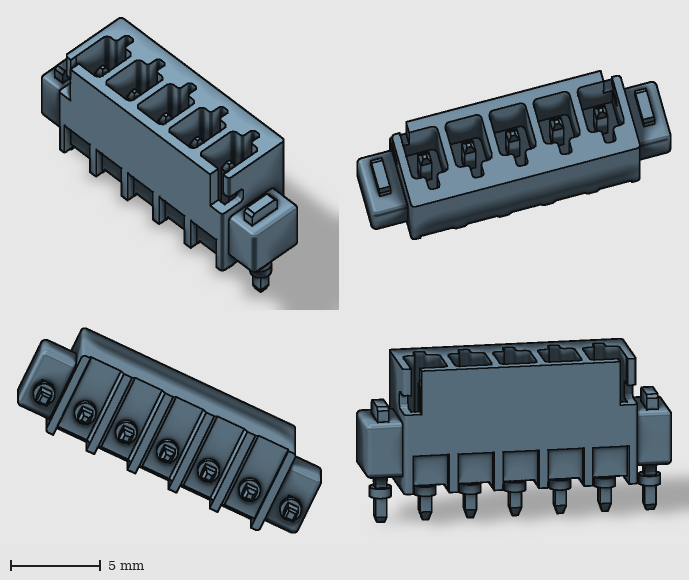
import cadquery as cq

CONTACT_COUNT = 5
PITCH = 2.55
PIN_WIDTH = 0.64
COLLAR_DIAMETER = 1.21
COLLAR_HEIGHT = 0.54
TAIL_LENGTH = 2.0
CONTACT_TOP_Z = 6.22
CONTACT_TIP_LENGTH = 0.5
CONTACT_TIP_WIDTH = 0.31
MATING_TIP_WIDTH = 0.25
ANCHOR_TIP_LENGTH = 0.31
ANCHOR_TIP_WIDTH = 0.41

OVERALL_LENGTH = 17.29
BODY_LENGTH = 13.21
BODY_HEIGHT = 7.09
BODY_FRONT_Y = -1.99
BODY_BACK_Y = 2.87
BODY_DEPTH = BODY_BACK_Y - BODY_FRONT_Y
BODY_EDGE_RADIUS = 0.2
BODY_END_X = BODY_LENGTH / 2

CAVITY_WIDTH = 2.1
CAVITY_FRONT_Y = -1.35
CAVITY_BACK_Y = 1.33
CAVITY_RADIUS = 0.3
CAVITY_DRAFT = 0.3
KEY_WIDTH = 0.64
KEY_BACK_Y = 2.15
KEY_RADIUS = 0.2
STEP_RADIUS = 0.2

POCKET_WIDTH = 2.04
POCKET_DEPTH = 0.48
POCKET_TOP_Z = 2.2
CAVITY_FLOOR_Z = POCKET_TOP_Z
FLOOR_BOTTOM_Z = 0.36
RIB_WIDTH = PITCH - POCKET_WIDTH
FOOT_FLARE = 0.19

END_WALL_INNER_X = (CONTACT_COUNT - 1) / 2 * PITCH + CAVITY_WIDTH / 2
NOTCH_INNER_X = 5.62
NOTCH_BACK_Y = -1.47
NOTCH_FLOOR_Z = 4.58
WINDOW_BACK_Y = -0.36
WINDOW_TOP_Z = 5.57
WINDOW_RADIUS = 0.28

WING_FRONT_Y = -1.49
WING_BACK_Y = 2.02
WING_BOTTOM_Z = 0.85
WING_TOP_Z = 3.98
WING_RADIUS = 0.3

ANCHOR_X = (CONTACT_COUNT + 1) / 2 * PITCH
BLADE_WIDTH = 1.94
BLADE_TOP_Z = 4.8
BLADE_BOTTOM_Z = (WING_BOTTOM_Z + WING_TOP_Z) / 2
BLADE_CHAMFER = 0.19
NECK_WIDTH = 0.85
NECK_TAPER_BOTTOM_Z = 0.17
NECK_TAPER_TOP_Z = 0.75

contact_positions = [(i - (CONTACT_COUNT - 1) / 2) * PITCH for i in range(CONTACT_COUNT)]
rib_positions = [x + PITCH / 2 for x in contact_positions[:-1]]


def block(x_range, y_range, z_range):
    """Box between two limits on each axis."""
    size = [high - low for low, high in (x_range, y_range, z_range)]
    corner = (x_range[0], y_range[0], z_range[0])
    return cq.Workplane("XY").box(*size, centered=False).translate(corner)


def square_bar(bottom_z, top_z):
    """Square bar of the pin width on the Z axis."""
    half = PIN_WIDTH / 2
    return block((-half, half), (-half, half), (bottom_z, top_z))


def pyramid_tip(base_z, tip_z, tip_width):
    """Square tip narrowing from the pin width to the tip width."""
    return (
        cq.Workplane("XY", origin=(0, 0, base_z))
        .rect(PIN_WIDTH, PIN_WIDTH)
        .workplane(offset=tip_z - base_z)
        .rect(tip_width, tip_width)
        .loft()
    )


def solder_tail(tip_length, tip_width):
    """Collar with a square tail and its tip, below the level of the feet."""
    collar = cq.Workplane("XY").circle(COLLAR_DIAMETER / 2).extrude(-COLLAR_HEIGHT)
    shoulder_z = tip_length - TAIL_LENGTH
    tip = pyramid_tip(shoulder_z, -TAIL_LENGTH, tip_width)
    return collar.union(square_bar(shoulder_z, 0)).union(tip)


def make_contact():
    """Contact pin with a tip at both ends."""
    shoulder_z = CONTACT_TOP_Z - CONTACT_TIP_LENGTH
    tip = pyramid_tip(shoulder_z, CONTACT_TOP_Z, MATING_TIP_WIDTH)
    tail = solder_tail(CONTACT_TIP_LENGTH, CONTACT_TIP_WIDTH)
    return tail.union(square_bar(0, shoulder_z)).union(tip)


def anchor_plate():
    """Flat upper part of an anchor: a wide blade on a neck that tapers to the pin width."""
    right_side = [
        (PIN_WIDTH / 2, 0),
        (PIN_WIDTH / 2, NECK_TAPER_BOTTOM_Z),
        (NECK_WIDTH / 2, NECK_TAPER_TOP_Z),
        (NECK_WIDTH / 2, BLADE_BOTTOM_Z),
        (BLADE_WIDTH / 2, BLADE_BOTTOM_Z),
        (BLADE_WIDTH / 2, BLADE_TOP_Z - BLADE_CHAMFER),
        (BLADE_WIDTH / 2 - BLADE_CHAMFER, BLADE_TOP_Z),
    ]
    left_side = [(-y, z) for y, z in reversed(right_side)]
    outline = cq.Workplane("YZ").polyline(right_side + left_side).close()
    return outline.extrude(PIN_WIDTH / 2, both=True)


def make_anchor():
    """Anchor that is pressed into a wing and soldered to the board."""
    return anchor_plate().union(solder_tail(ANCHOR_TIP_LENGTH, ANCHOR_TIP_WIDTH))


def make_wing():
    """Right-hand wing, rounded on all edges away from the housing block."""
    wing = block(
        (BODY_END_X, OVERALL_LENGTH / 2),
        (WING_FRONT_Y, WING_BACK_Y),
        (WING_BOTTOM_Z, WING_TOP_Z),
    )
    return wing.edges("not <X").fillet(WING_RADIUS)


def drafted_pocket(width, front_y, back_y):
    """Rectangular pocket from the top face to the cavity floor, narrowing downwards."""
    return (
        cq.Workplane("XY", origin=(0, (front_y + back_y) / 2, BODY_HEIGHT))
        .rect(width, back_y - front_y)
        .extrude(CAVITY_FLOOR_Z - BODY_HEIGHT, taper=CAVITY_DRAFT)
    )


def cavity(square_side):
    """Mating cavity of the contact on the Z axis, with its key slot at the back.

    Its front corner towards square_side (-1 left, 1 right, 0 neither) is left square.
    """
    upright = "(not #Z) and %LINE"
    main_pocket = drafted_pocket(CAVITY_WIDTH, CAVITY_FRONT_Y, CAVITY_BACK_Y)
    round_corners = main_pocket.edges(upright).filter(
        lambda edge: edge.Center().y > 0 or edge.Center().x * square_side <= 0
    )
    main_pocket = round_corners.fillet(CAVITY_RADIUS)
    key_slot = drafted_pocket(KEY_WIDTH, 0, KEY_BACK_Y)
    key_slot = key_slot.edges(upright).edges(">Y").fillet(KEY_RADIUS)
    both = main_pocket.union(key_slot)
    step_zone = cq.selectors.BoxSelector(
        (-KEY_WIDTH, CAVITY_BACK_Y - STEP_RADIUS, CAVITY_FLOOR_Z),
        (KEY_WIDTH, CAVITY_BACK_Y + STEP_RADIUS, BODY_HEIGHT),
    )
    return both.edges(upright).edges(step_zone).fillet(STEP_RADIUS)


def front_pocket():
    """Recess in the front face below the cavity of the contact on the Z axis."""
    half = POCKET_WIDTH / 2
    return block((-half, half), (BODY_FRONT_Y, BODY_FRONT_Y + POCKET_DEPTH), (0, POCKET_TOP_Z))


def under_floor_space():
    """Space between the end walls below the floor."""
    half = (CONTACT_COUNT * PITCH - RIB_WIDTH) / 2
    return block((-half, half), (BODY_FRONT_Y, BODY_BACK_Y), (0, FLOOR_BOTTOM_Z))


def foot():
    """Foot below the floor, in line with a rib and flared behind the front pockets."""
    half = RIB_WIDTH / 2
    front_part = block((-half, half), (BODY_FRONT_Y, BODY_BACK_Y), (0, FLOOR_BOTTOM_Z))
    flared_part = (
        cq.Workplane("XZ", origin=(0, BODY_BACK_Y, 0))
        .polyline([
            (-half, 0),
            (half, 0),
            (half + FOOT_FLARE, FLOOR_BOTTOM_Z),
            (-half - FOOT_FLARE, FLOOR_BOTTOM_Z),
        ])
        .close()
        .extrude(BODY_DEPTH - POCKET_DEPTH)
    )
    return front_part.union(flared_part)


def corner_notch():
    """Right-hand notch that opens the front corner into the end cavity."""
    height_range = (NOTCH_FLOOR_Z, BODY_HEIGHT)
    outer_part = block((NOTCH_INNER_X, BODY_END_X), (BODY_FRONT_Y, NOTCH_BACK_Y), height_range)
    inner_back_y = CAVITY_FRONT_Y + CAVITY_RADIUS
    inner_part = block((NOTCH_INNER_X, END_WALL_INNER_X), (NOTCH_BACK_Y, inner_back_y), height_range)
    return outer_part.union(inner_part)


def wall_window():
    """Right-hand window through the end wall, open towards the notch."""
    window = block(
        (END_WALL_INNER_X - CAVITY_RADIUS, BODY_END_X),
        (NOTCH_BACK_Y, WINDOW_BACK_Y),
        (NOTCH_FLOOR_Z, WINDOW_TOP_Z),
    )
    return window.edges("|X and >Y").fillet(WINDOW_RADIUS)


def at_both_ends(shape):
    """A right-hand shape together with its mirror image at the left end."""
    return shape.union(shape.mirror("YZ"))


def make_housing():
    """Housing block with its wings, cavities and openings, bored to fit the pins and anchors."""
    body = block((-BODY_END_X, BODY_END_X), (BODY_FRONT_Y, BODY_BACK_Y), (0, BODY_HEIGHT))
    body = body.cut(at_both_ends(corner_notch()))
    body = body.edges("|Z").edges("<X or >X").fillet(BODY_EDGE_RADIUS)
    body = body.cut(at_both_ends(wall_window()))
    body = body.cut(under_floor_space())
    for x in rib_positions:
        body = body.union(foot().translate((x, 0, 0)))
    square_sides = {contact_positions[0]: -1, contact_positions[-1]: 1}
    for x in contact_positions:
        body = body.cut(front_pocket().translate((x, 0, 0)))
        body = body.cut(cavity(square_sides.get(x, 0)).translate((x, 0, 0)))
        body = body.cut(square_bar(0, CAVITY_FLOOR_Z).translate((x, 0, 0)))
    body = body.union(at_both_ends(make_wing()))
    return body.cut(at_both_ends(anchor_plate().translate((ANCHOR_X, 0, 0))))


housing = make_housing()
contacts = [make_contact().translate((x, 0, 0)) for x in contact_positions]
anchors = [make_anchor().translate((x, 0, 0)) for x in (-ANCHOR_X, ANCHOR_X)]

bodies = [housing, *contacts, *anchors]
result = cq.Compound.makeCompound([body.solids().val() for body in bodies])